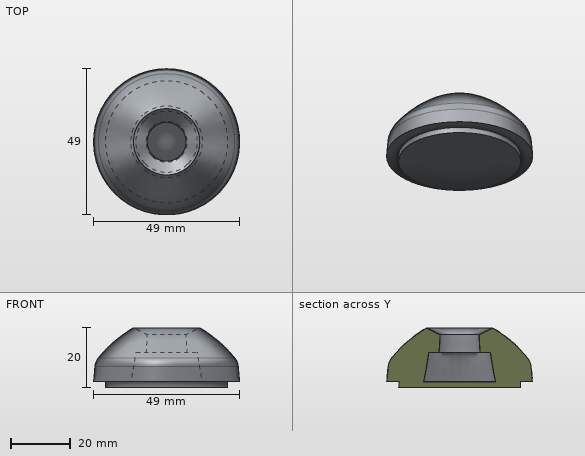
import cadquery as cq

total_height = 20.0
spigot_height = 2.0
wall_top = 7.0
shoulder_top = 9.95

spigot_radius = 20.5
rim_radius = 24.5
wall_top_radius = 24.05
shoulder_top_radius = 22.85
crown_radius = 11.1

dome_mid_radius = 17.55
dome_mid_height = 15.45

hole_radius = 6.5
hole_bottom_radius = 6.85
cavity_top_radius = 10.3
cavity_bottom_radius = 12.0
cavity_floor = spigot_height
countersink_depth = 2.25
hole_depth = 8.3
cavity_ceiling = total_height - hole_depth
hole_mouth = total_height - countersink_depth

half_section = (
    cq.Workplane("YZ")
    .lineTo(spigot_radius, 0)
    .lineTo(spigot_radius, spigot_height)
    .lineTo(rim_radius, spigot_height)
    .lineTo(wall_top_radius, wall_top)
    .tangentArcPoint((shoulder_top_radius, shoulder_top), relative=False)
    .threePointArc((dome_mid_radius, dome_mid_height), (crown_radius, total_height))
    .lineTo(hole_radius, hole_mouth)
    .lineTo(hole_bottom_radius, cavity_ceiling)
    .lineTo(cavity_top_radius, cavity_ceiling)
    .lineTo(cavity_bottom_radius, cavity_floor)
    .lineTo(0, cavity_floor)
    .close()
)

result = half_section.revolve(360, (0, 0, 0), (0, 1, 0))